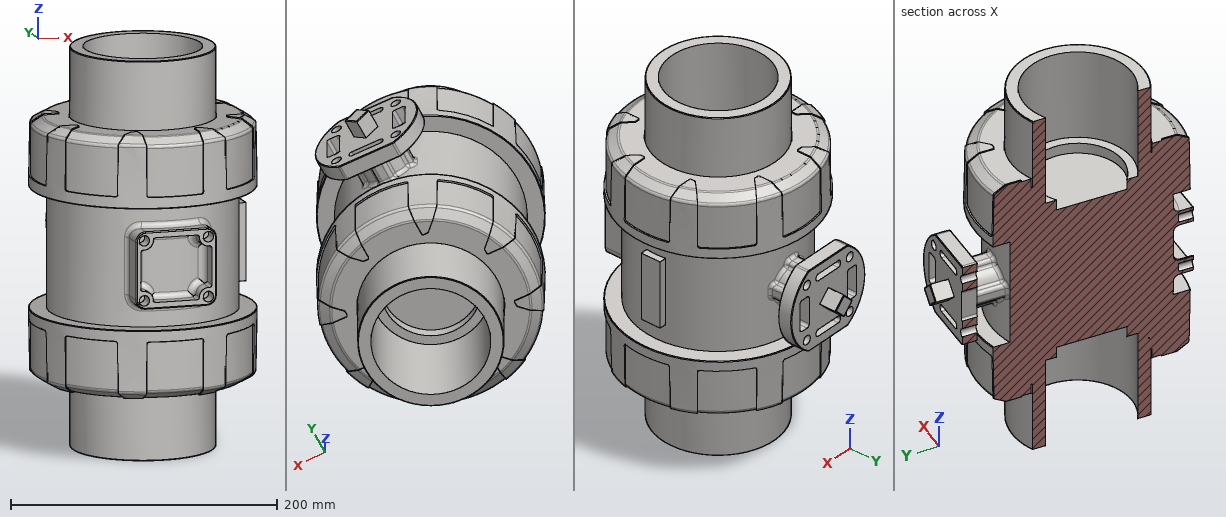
import cadquery as cq
import math

TOTAL_LENGTH = 307.0
HALF_LENGTH = TOTAL_LENGTH / 2
BODY_RADIUS = 145.0 / 2

TOOL_MARGIN = 3.0
SELECT_MARGIN = 0.3

PIPE_RADIUS = 110.0 / 2
BORE_RADIUS = 90.0 / 2
BORE_DEPTH = 79.8
SEAT_RADIUS = 75.0 / 2
SEAT_DEPTH = 9.2
PIPE_END_CHAMFER = 0.5

NUT_RADIUS = 172.0 / 2
NUT_INNER_Z = 46.7
NUT_OUTER_Z = 101.3
NUT_INNER_CHAMFER = 0.5
NUT_TAPER = 1.0
NUT_SHOULDER_Z = 95.5
NUT_TOP_RADIUS = 75.2
NUT_EDGE_FILLET = 3.0
NUT_HOLE_RADIUS = 111.0 / 2
NUT_HOLE_DEPTH = 9.2
NUT_OVERLAP = 3.0

PANEL_COUNT = 8
PANEL_WIDTH = 44.5
PANEL_START_Z = 55.5
PANEL_RADIUS = 84.5
PANEL_SINK = 1.0
PANEL_CORNER_RADIUS = 1.8
RIB_TIP_REACH = 58.5
RIB_TIP_RADIUS = 1.2

PAD_WIDTH = 63.2
PAD_HEIGHT = 59.5
PAD_FACE_Y = -85.3
PAD_DEPTH = 38.7
PAD_CORNER_RADIUS = 7.7
PAD_EDGE_CHAMFER = 1.0
PAD_ROOT_FILLET = 4.5
PAD_SCREW_X = 25.2
PAD_SCREW_Z = 23.0
PAD_SCREWS = [(sx * PAD_SCREW_X, sz * PAD_SCREW_Z) for sx in (-1, 1) for sz in (-1, 1)]
PAD_SCREW_DIAMETER = 8.0
PAD_SCREW_DEPTH = 12.3
POCKET_WIDTH = 56.0
POCKET_HEIGHT = 49.7
POCKET_BOSS_RADIUS = 7.0
POCKET_CORNER_RADIUS = 2.0
POCKET_FLOOR_FILLET = 4.5

LABEL_FACE_X = 78.3
LABEL_WIDTH = 18.5
LABEL_HEIGHT = 60.2

NECK_START_Y = 46.7
NECK_CORE_RADIUS = 17.5
NECK_RIB_WIDTH = 12.3
NECK_RIB_REACH = 21.2
NECK_RIB_TIP_RADIUS = 3.0
NECK_RIB_ROOT_RADIUS = 3.0
NECK_BASE_FILLET = 3.0
FLANGE_START_Y = 95.5
FLANGE_END_Y = 108.5
FLANGE_THICKNESS = FLANGE_END_Y - FLANGE_START_Y
FLANGE_RADIUS = 86.0 / 2
FLANGE_HEIGHT = 73.0
FLANGE_CORNER_RADIUS = 3.0
FLANGE_EDGE_CHAMFER = 0.5
FLANGE_HOLE_OFFSET = 25.0
FLANGE_HOLE_DIAMETER = 8.0
SIDE_WINDOW_INNER = 22.0
SIDE_WINDOW_OUTER = 33.0
END_WINDOW_INNER = 22.0
END_WINDOW_OUTER = 28.2
WINDOW_LENGTH = 28.2
WINDOW_CORNER_RADIUS = 2.5
STEM_SIDE = 14.0
STEM_END_Y = 124.0
STEM_END_CHAMFER = 0.5


def cylinder(radius, start_z, end_z):
    return cq.Workplane("XY").workplane(offset=start_z).circle(radius).extrude(end_z - start_z)


def plane_facing_plus_y(y):
    """XZ workplane at the given Y, extruding toward +Y; its local x is -X."""
    return cq.Workplane(cq.Plane(origin=(0, y, 0), xDir=(-1, 0, 0), normal=(0, 1, 0)))


def nut_envelope(collar_radius, shoulder_radius, sink):
    """Solid of revolution of the upper nut, with its sloping end sunk by an offset."""
    end_z = NUT_OUTER_Z - sink
    above_shoulder = cq.selectors.BoxSelector(
        (-NUT_RADIUS, -NUT_RADIUS, NUT_SHOULDER_Z - NUT_EDGE_FILLET),
        (NUT_RADIUS, NUT_RADIUS, NUT_OUTER_Z + TOOL_MARGIN),
    )
    envelope = (
        cq.Workplane("XZ")
        .moveTo(0, NUT_INNER_Z)
        .lineTo(collar_radius - NUT_INNER_CHAMFER, NUT_INNER_Z)
        .lineTo(collar_radius, NUT_INNER_Z + NUT_INNER_CHAMFER)
        .lineTo(shoulder_radius, NUT_SHOULDER_Z - sink)
        .lineTo(NUT_TOP_RADIUS, end_z)
        .lineTo(0, end_z)
        .close()
        .revolve(360, (0, 0, 0), (0, 1, 0))
    )
    return envelope.edges(above_shoulder).fillet(NUT_EDGE_FILLET)


def radial_bars(start_z):
    """Bars crossing on the axis, one across every opposite pair of grip panels."""
    for index in range(PANEL_COUNT // 2):
        bar = (
            cq.Workplane("XY")
            .workplane(offset=start_z)
            .rect(2 * (NUT_RADIUS + TOOL_MARGIN), PANEL_WIDTH)
            .extrude(NUT_OUTER_Z + TOOL_MARGIN - start_z)
        )
        yield bar, index * 360 / PANEL_COUNT


def panel_cutter():
    """Star of bars whose gaps are the ribs, with rounded rib tips cut off by a square."""
    tip_start_z = NUT_SHOULDER_Z - TOOL_MARGIN
    star = (
        cq.Workplane("XY")
        .workplane(offset=tip_start_z)
        .rect(2 * RIB_TIP_REACH, 2 * RIB_TIP_REACH)
        .extrude(NUT_OUTER_Z + TOOL_MARGIN - tip_start_z)
    )
    for bar, angle in radial_bars(tip_start_z):
        star = star.union(bar.rotate((0, 0, 0), (0, 0, 1), angle))
    reach = RIB_TIP_REACH + SELECT_MARGIN
    rib_tips = cq.selectors.BoxSelector((-reach, -reach, 0), (reach, reach, NUT_OUTER_Z + TOOL_MARGIN))
    star = star.edges("|Z").edges(rib_tips).fillet(RIB_TIP_RADIUS)
    for bar, angle in radial_bars(PANEL_START_Z):
        bar = bar.edges("|X and <Z").fillet(PANEL_CORNER_RADIUS)
        star = star.union(bar.rotate((0, 0, 0), (0, 0, 1), angle))
    return star.cut(nut_envelope(PANEL_RADIUS, PANEL_RADIUS, PANEL_SINK))


def upper_nut():
    nut = nut_envelope(NUT_RADIUS, NUT_RADIUS - NUT_TAPER, 0).cut(panel_cutter())
    return nut.cut(cylinder(NUT_HOLE_RADIUS, NUT_OUTER_Z - NUT_HOLE_DEPTH, NUT_OUTER_Z))


def screw_pad(body):
    """Body with the rounded pad added and blended in; its pocket is still solid."""
    pad = (
        plane_facing_plus_y(PAD_FACE_Y)
        .rect(PAD_WIDTH, PAD_HEIGHT)
        .extrude(PAD_DEPTH)
        .edges("|Y")
        .fillet(PAD_CORNER_RADIUS)
        .faces("<Y")
        .chamfer(PAD_EDGE_CHAMFER)
    )
    root_y = -math.sqrt(BODY_RADIUS**2 - (PAD_WIDTH / 2) ** 2)
    root = cq.selectors.BoxSelector(
        (-PAD_WIDTH, -BODY_RADIUS - SELECT_MARGIN, -PAD_HEIGHT / 2 - SELECT_MARGIN),
        (PAD_WIDTH, root_y + SELECT_MARGIN, PAD_HEIGHT / 2 + SELECT_MARGIN),
        boundingbox=True,
    )
    return body.union(pad).edges(root).fillet(PAD_ROOT_FILLET)


def pocket_outline():
    """Straight prism of the pocket, with rounded corners and a round boss kept at each screw."""
    plane = plane_facing_plus_y(PAD_FACE_Y)
    bosses = plane.pushPoints(PAD_SCREWS).circle(POCKET_BOSS_RADIUS).extrude(PAD_DEPTH)
    corners = (
        plane.rect(POCKET_WIDTH, POCKET_HEIGHT, forConstruction=True)
        .vertices()
        .rect(POCKET_WIDTH - 2 * PAD_SCREW_X, POCKET_HEIGHT - 2 * PAD_SCREW_Z)
        .extrude(PAD_DEPTH)
    )
    prism = plane.rect(POCKET_WIDTH, POCKET_HEIGHT).extrude(PAD_DEPTH).cut(bosses).cut(corners)
    return prism.edges("|Y").fillet(POCKET_CORNER_RADIUS)


def flared_boss():
    """Body cylinder with the boss of the -X, +Z screw standing on it, blended at the boss foot."""
    plane = plane_facing_plus_y(PAD_FACE_Y)
    boss = plane.center(PAD_SCREW_X, PAD_SCREW_Z).circle(POCKET_BOSS_RADIUS).extrude(PAD_DEPTH)
    foot = cq.selectors.BoxSelector(
        (-PAD_WIDTH, -BODY_RADIUS - SELECT_MARGIN, 0),
        (0, PAD_FACE_Y + PAD_DEPTH, PAD_HEIGHT),
        boundingbox=True,
    )
    pad_zone = cylinder(BODY_RADIUS, -PAD_HEIGHT, PAD_HEIGHT)
    return pad_zone.union(boss).edges(foot).fillet(POCKET_FLOOR_FILLET)


def pad_pocket():
    """Pocket whose floor is the body's own cylinder; one quarter is shaped, then mirrored."""
    plane = plane_facing_plus_y(PAD_FACE_Y)
    floor = cq.selectors.NearestToPointSelector((0, -BODY_RADIUS, 0))
    hollow = plane.rect(POCKET_WIDTH, POCKET_HEIGHT).extrude(PAD_DEPTH)
    hollow = hollow.cut(cylinder(BODY_RADIUS, -PAD_HEIGHT, PAD_HEIGHT))
    hollow = hollow.faces(floor).edges().fillet(POCKET_FLOOR_FILLET)
    quarter_zone = (
        plane.center(PAD_WIDTH / 4, PAD_HEIGHT / 4)
        .rect(PAD_WIDTH / 2, PAD_HEIGHT / 2)
        .extrude(PAD_DEPTH)
    )
    quarter = hollow.intersect(quarter_zone).cut(flared_boss()).intersect(pocket_outline())
    half = quarter.union(quarter.mirror("XY"))
    return half.union(half.mirror("YZ"))


def pad_screw_holes():
    return (
        plane_facing_plus_y(PAD_FACE_Y)
        .pushPoints(PAD_SCREWS)
        .circle(PAD_SCREW_DIAMETER / 2)
        .extrude(PAD_SCREW_DEPTH)
    )


def label_plate():
    return cq.Workplane("YZ").rect(LABEL_WIDTH, LABEL_HEIGHT).extrude(LABEL_FACE_X)


def actuator_neck(body):
    """Body with the neck added: a round core with four rounded ribs, blended at its base."""
    length = FLANGE_START_Y - NECK_START_Y
    plane = plane_facing_plus_y(NECK_START_Y)
    neck = plane.circle(NECK_CORE_RADIUS).extrude(length)
    neck = neck.union(plane.rect(2 * NECK_RIB_REACH, NECK_RIB_WIDTH).extrude(length))
    neck = neck.union(plane.rect(NECK_RIB_WIDTH, 2 * NECK_RIB_REACH).extrude(length))
    inside_core = cq.selectors.BoxSelector(
        (-NECK_CORE_RADIUS, 0, -NECK_CORE_RADIUS),
        (NECK_CORE_RADIUS, FLANGE_START_Y, NECK_CORE_RADIUS),
    )
    neck = neck.edges(inside_core).edges("|Y").fillet(NECK_RIB_ROOT_RADIUS)
    neck = neck.edges("|Y").edges(">X or <X or >Z or <Z").fillet(NECK_RIB_TIP_RADIUS)
    reach = NECK_RIB_REACH + SELECT_MARGIN
    base = cq.selectors.BoxSelector(
        (-reach, NECK_START_Y + SELECT_MARGIN, -reach),
        (reach, BODY_RADIUS + SELECT_MARGIN, reach),
        boundingbox=True,
    )
    return body.union(neck).edges(base).fillet(NECK_BASE_FILLET)


def flange_window(center_x, center_z, width, height):
    return (
        plane_facing_plus_y(FLANGE_START_Y)
        .center(-center_x, center_z)
        .rect(width, height)
        .extrude(FLANGE_THICKNESS)
        .edges("|Y")
        .fillet(WINDOW_CORNER_RADIUS)
    )


def actuator_flange():
    """Disc with flat top and bottom, four bolt holes and four windows around the neck."""
    plane = plane_facing_plus_y(FLANGE_START_Y)
    flange = (
        plane.circle(FLANGE_RADIUS)
        .extrude(FLANGE_THICKNESS)
        .intersect(plane.rect(2 * FLANGE_RADIUS, FLANGE_HEIGHT).extrude(FLANGE_THICKNESS))
        .edges("|Y and (>Z or <Z)")
        .fillet(FLANGE_CORNER_RADIUS)
        .faces("<Y or >Y")
        .chamfer(FLANGE_EDGE_CHAMFER)
    )
    bolt_spacing = 2 * FLANGE_HOLE_OFFSET
    holes = (
        plane.rect(bolt_spacing, bolt_spacing, forConstruction=True)
        .vertices()
        .circle(FLANGE_HOLE_DIAMETER / 2)
        .extrude(FLANGE_THICKNESS)
    )
    flange = flange.cut(holes)
    side_center = (SIDE_WINDOW_INNER + SIDE_WINDOW_OUTER) / 2
    side_width = SIDE_WINDOW_OUTER - SIDE_WINDOW_INNER
    end_center = (END_WINDOW_INNER + END_WINDOW_OUTER) / 2
    end_height = END_WINDOW_OUTER - END_WINDOW_INNER
    for sign in (-1, 1):
        flange = flange.cut(flange_window(sign * side_center, 0, side_width, WINDOW_LENGTH))
        flange = flange.cut(flange_window(0, sign * end_center, WINDOW_LENGTH, end_height))
    return flange


def stem():
    """Square drive stem standing on its corner."""
    return (
        plane_facing_plus_y(FLANGE_END_Y)
        .rect(STEM_SIDE, STEM_SIDE)
        .extrude(STEM_END_Y - FLANGE_END_Y)
        .faces(">Y")
        .chamfer(STEM_END_CHAMFER)
        .rotate((0, 0, 0), (0, 1, 0), 45)
    )


def upper_bore():
    """Stepped bore of the upper pipe end, closed at the seat by the shut valve."""
    step_z = HALF_LENGTH - BORE_DEPTH
    bore = cylinder(BORE_RADIUS, step_z, HALF_LENGTH)
    return bore.union(cylinder(SEAT_RADIUS, step_z - SEAT_DEPTH, step_z))


body = cylinder(BODY_RADIUS, -NUT_INNER_Z - NUT_OVERLAP, NUT_INNER_Z + NUT_OVERLAP)
body = screw_pad(body).cut(pad_pocket()).cut(pad_screw_holes())
body = actuator_neck(body).union(actuator_flange()).union(stem()).union(label_plate())

pipe = cylinder(PIPE_RADIUS, -HALF_LENGTH, HALF_LENGTH).faces("<Z or >Z").chamfer(PIPE_END_CHAMFER)

nut = upper_nut()
bore = upper_bore()
result = body.union(pipe).union(nut).union(nut.mirror("XY"))
result = result.cut(bore).cut(bore.mirror("XY"))